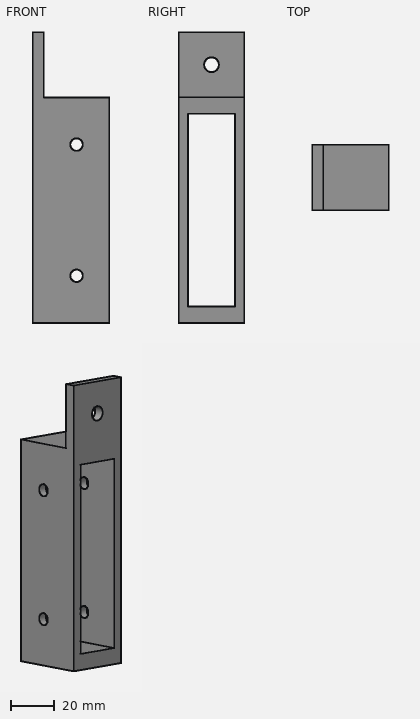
import cadquery as cq

height = 132.8
width = 30.0
tab_thickness = 5.0
body_depth = 29.9
length = tab_thickness + body_depth
tab_height = 29.8
body_height = height - tab_height

window_width = 21.3
end_wall = 7.6
window_height = body_height - 2 * end_wall

side_hole_diameter = 5.6
side_hole_spacing = 59.9
side_hole_x = tab_thickness + body_depth / 2
tab_hole_diameter = 6.6
tab_hole_z = body_height + tab_height / 2


def corner_box(x_size, y_size, z_size):
    """Box centred on Y, with its -X and -Z faces on the origin planes."""
    return cq.Workplane("XY").box(x_size, y_size, z_size, centered=(False, True, False))


body = corner_box(length, width, body_height)
tab = corner_box(tab_thickness, width, height)
window = corner_box(length, window_width, window_height).translate((0, 0, end_wall))

side_holes = (
    cq.Workplane("XZ", origin=(side_hole_x, 0, body_height / 2))
    .pushPoints([(0, -side_hole_spacing / 2), (0, side_hole_spacing / 2)])
    .circle(side_hole_diameter / 2)
    .extrude(width / 2, both=True)
)
tab_hole = (
    cq.Workplane("YZ", origin=(0, 0, tab_hole_z))
    .circle(tab_hole_diameter / 2)
    .extrude(tab_thickness)
)

result = body.union(tab).cut(window).cut(side_holes).cut(tab_hole)